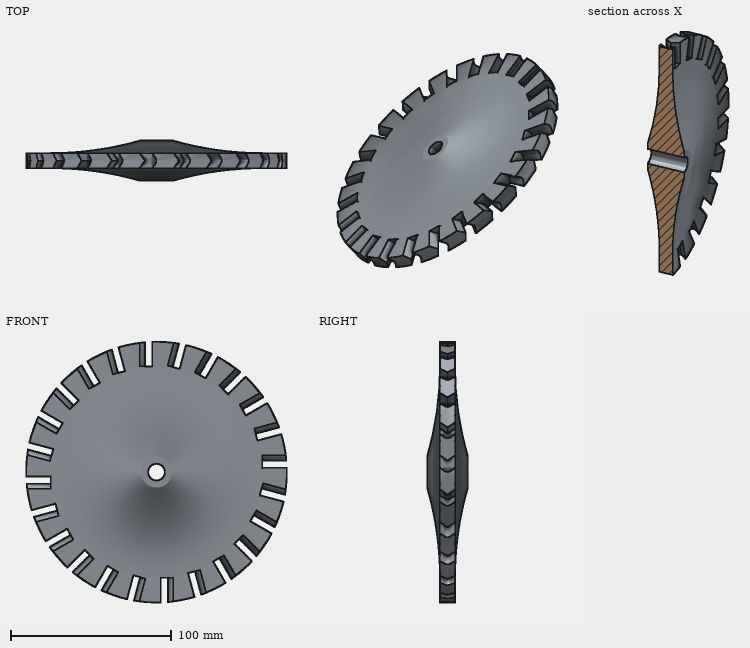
import cadquery as cq

OUTER_RADIUS = 81.405
DISC_RADIUS = 66.0
HUB_WIDTH = 25.4
RIM_WIDTH = 9.525
HUB_FACE_RADIUS = 9.7
BORE_DIAMETER = 10.3

TOOTH_COUNT = 24
NOSE_FACE_X = -10.5
NOSE_TIP_X = -7.1
HOLLOW_FACE_X = -2.8
HOLLOW_ROOT_RADIUS = 3.0
CUT_CLEARANCE = 2.0
RING_OVERLAP = 2.0


def dished_disc():
    """Disc whose faces sweep down in a concave arc, level at the disc edge."""
    hub_y = HUB_WIDTH / 2
    edge_y = RIM_WIDTH / 2
    bore_radius = BORE_DIAMETER / 2
    profile = (
        cq.Workplane("YZ")
        .moveTo(-hub_y, bore_radius)
        .lineTo(hub_y, bore_radius)
        .lineTo(hub_y, HUB_FACE_RADIUS)
    )
    drop = hub_y - edge_y
    run = DISC_RADIUS - HUB_FACE_RADIUS
    arc_radius = (run**2 + drop**2) / (2 * drop)
    mid_run = run / 2
    mid_y = edge_y + arc_radius - (arc_radius**2 - mid_run**2) ** 0.5
    mid_radius = DISC_RADIUS - mid_run
    profile = (
        profile.threePointArc((mid_y, mid_radius), (edge_y, DISC_RADIUS))
        .lineTo(-edge_y, DISC_RADIUS)
        .threePointArc((-mid_y, mid_radius), (-hub_y, HUB_FACE_RADIUS))
        .close()
    )
    return profile.revolve(360, (0, 0, 0), (1, 0, 0))


def rim_ring():
    """Plain ring around the disc, from which the teeth are cut."""
    return (
        cq.Workplane("XZ")
        .workplane(offset=-RIM_WIDTH / 2)
        .circle(OUTER_RADIUS)
        .circle(DISC_RADIUS - RING_OVERLAP)
        .extrude(RIM_WIDTH)
    )


def slot_cutter():
    """Slot with a flat floor, one chevron wall and one parallel hollow wall."""
    face_y = RIM_WIDTH / 2
    depth = OUTER_RADIUS - DISC_RADIUS + CUT_CLEARANCE
    hollow_root_x = HOLLOW_FACE_X + NOSE_TIP_X - NOSE_FACE_X
    cutter = (
        cq.Workplane("XY")
        .workplane(offset=DISC_RADIUS)
        .moveTo(NOSE_FACE_X, -face_y)
        .lineTo(NOSE_TIP_X, 0)
        .lineTo(NOSE_FACE_X, face_y)
        .lineTo(HOLLOW_FACE_X, face_y)
        .lineTo(hollow_root_x, 0)
        .lineTo(HOLLOW_FACE_X, -face_y)
        .close()
        .extrude(depth)
    )
    return cutter.edges("|Z").edges(">X").fillet(HOLLOW_ROOT_RADIUS)


def toothed_rim():
    """Ring with one slot between each pair of neighbouring teeth."""
    rim = rim_ring()
    cutter = slot_cutter()
    for index in range(TOOTH_COUNT):
        angle = index * 360 / TOOTH_COUNT
        rim = rim.cut(cutter.rotate((0, 0, 0), (0, 1, 0), angle))
    return rim


result = dished_disc().union(toothed_rim())